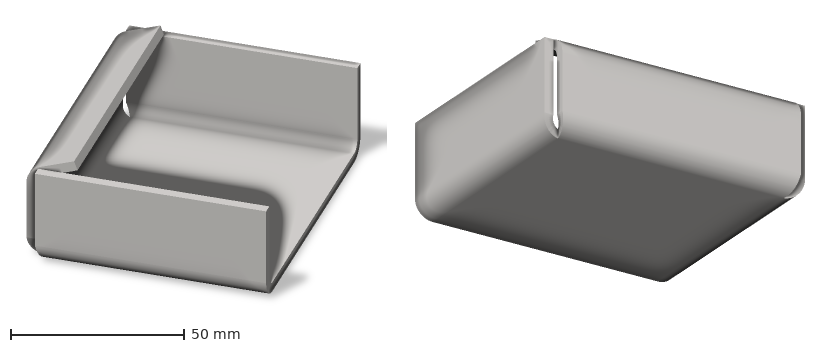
import cadquery as cq
import math

length_x = 74.0
width_y = 89.0
height_z = 34.0

thickness = 3.0
bend_radius = 6.0
inner_radius = bend_radius - thickness
flange_gap = 0.7
flange_start = thickness + flange_gap
relief_turn = 90

side_wall_top = 30.0
front_wall_top = 24.6
lip_slope = math.radians(20)
front_width = width_y - 2 * flange_start


def bend_along_x(x_start, x_end):
    """Quarter-ring bend at the low-Y edge of the base, with its axis along X."""
    middle = bend_radius * math.sqrt(0.5)
    inner_middle = inner_radius * math.sqrt(0.5)
    return (
        cq.Workplane("YZ", origin=(x_start, bend_radius, bend_radius))
        .moveTo(0, -bend_radius)
        .threePointArc((-middle, -middle), (-bend_radius, 0))
        .lineTo(-inner_radius, 0)
        .threePointArc((-inner_middle, -inner_middle), (0, -inner_radius))
        .close()
        .extrude(x_end - x_start)
    )


def corner_relief():
    """Twisted wedge that tapers the end of a bend down to the corner of the base."""
    reach = 2 * bend_radius
    return (
        cq.Workplane("YZ", origin=(flange_start, bend_radius, bend_radius))
        .polyline([(0, 0), (-reach, 0), (-reach, -reach), (0, -reach)])
        .close()
        .twistExtrude(bend_radius - flange_start, relief_turn)
    )


def side_flange():
    """Low-Y side wall with its bend, tapered at the front corner."""
    bend = bend_along_x(flange_start, length_x).cut(corner_relief())
    wall = cq.Workplane("XY").box(
        length_x - flange_start, thickness, side_wall_top - bend_radius, centered=False
    )
    return bend.union(wall.translate((flange_start, 0, bend_radius)))


def front_bend():
    """Bend along the front edge of the base, tapered at both corners."""
    half = bend_along_x(flange_start, width_y / 2).cut(corner_relief())
    half = half.rotate((0, 0, 0), (0, 0, 1), 90).mirror("YZ")
    return half.union(mirrored(half))


def mirrored(body):
    """Copy of a body reflected across the middle of the width."""
    return body.mirror("XZ", (0, width_y / 2, 0))


def front_wall_and_lip():
    """Front wall, lip bend and sloping lip, drawn in XZ and extruded across the width."""
    def on_bend(radius, angle):
        return (
            bend_radius - radius * math.cos(angle),
            front_wall_top + radius * math.sin(angle),
        )

    bend_angle = math.pi / 2 - lip_slope
    outer_end = on_bend(bend_radius, bend_angle)
    inner_end = on_bend(inner_radius, bend_angle)
    lip_rise = height_z - outer_end[1]
    lip_run = lip_rise / math.tan(lip_slope)
    return (
        cq.Workplane("XZ", origin=(0, flange_start, 0))
        .moveTo(0, bend_radius)
        .lineTo(0, front_wall_top)
        .threePointArc(on_bend(bend_radius, bend_angle / 2), outer_end)
        .lineTo(outer_end[0] + lip_run, height_z)
        .lineTo(inner_end[0] + lip_run, inner_end[1] + lip_rise)
        .lineTo(*inner_end)
        .threePointArc(on_bend(inner_radius, bend_angle / 2), (thickness, front_wall_top))
        .lineTo(thickness, bend_radius)
        .close()
        .extrude(-front_width)
    )


base = (
    cq.Workplane("XY")
    .box(length_x - bend_radius, width_y - 2 * bend_radius, thickness, centered=False)
    .translate((bend_radius, bend_radius, 0))
)
side = side_flange()
result = base.union(side).union(mirrored(side)).union(front_bend()).union(front_wall_and_lip())